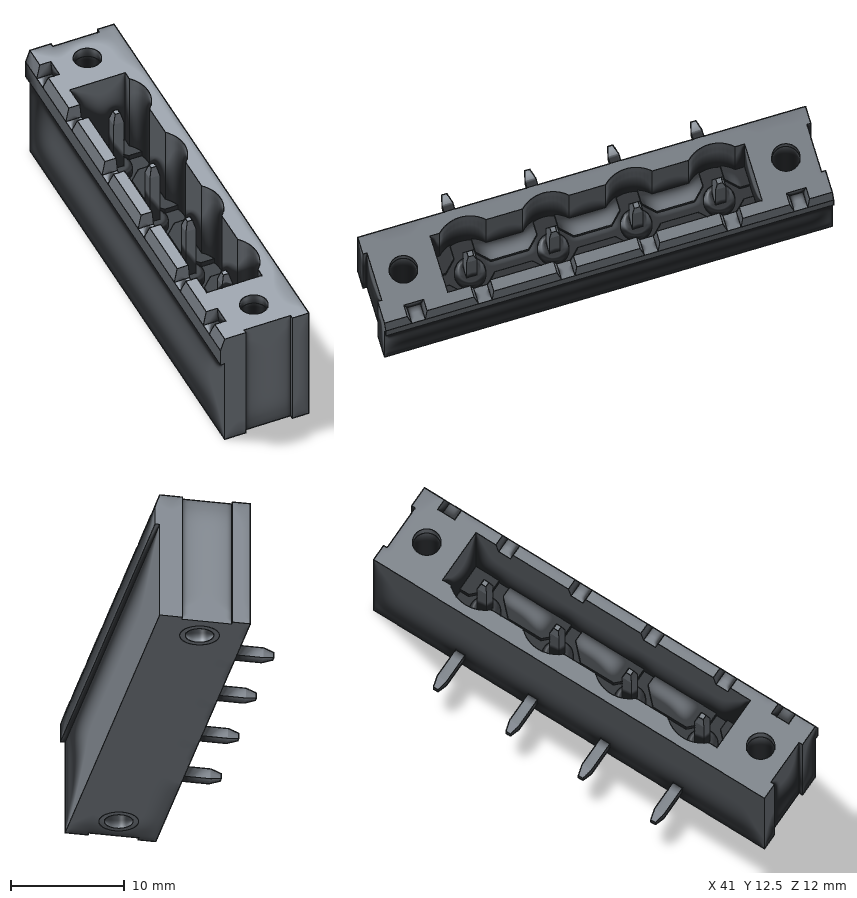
import cadquery as cq

housing_width = 41.05
housing_height = 12.0
total_depth = 12.5
leg_reach = 3.95
housing_back = total_depth - leg_reach
lip_depth = 0.4
lip_height = 2.95
bevel_height = 1.25
side_groove_depth = 0.35
side_groove_front = 2.45
side_groove_back = 6.95

pin_count = 4
pin_inset = 9.1
pin_pitch = (housing_width - 2 * pin_inset) / (pin_count - 1)
pin_xs = [-housing_width / 2 + pin_inset + i * pin_pitch for i in range(pin_count)]
axis_y = 4.6
pin_width = 1.0
pin_tip_width = 0.5
pin_tip_length = 1.0
pin_top = 10.68
leg_z = 2.0

cavity_half_width = 14.4
cavity_front = 1.48
cavity_back = 6.8
cavity_floor = 4.0
bulge_radius = 3.1

channel_depth = 0.5
channel_width = 1.1
back_branch_width = 1.97
diamond_reach = 2.63
channel_bottom = cavity_floor - channel_depth

collar_diameter = 2.8
collar_rounding = 0.5
collar_height = 1.0

notch_top_width = 1.8
notch_bottom_width = 1.25

screw_xs = [-17.55, 17.55]
screw_hole_diameter = 2.5
sleeve_diameter = 3.5
sleeve_cover = 1.0
sleeve_length = housing_height - sleeve_cover


def box(x_range, y_range, z_range):
    """Axis-aligned box from (low, high) limits."""
    limits = (x_range, y_range, z_range)
    lengths = [high - low for low, high in limits]
    corner = [low for low, high in limits]
    return cq.Workplane("XY").box(*lengths, centered=False).translate(tuple(corner))


def around(centre, width):
    """Limits of a given width about a centre."""
    return (centre - width / 2, centre + width / 2)


def cylinder(x, diameter, bottom, height):
    """Upright cylinder on the common axis row."""
    return cq.Workplane("XY", origin=(x, axis_y, bottom)).circle(diameter / 2).extrude(height)


def housing_block():
    """Side profile with the bevelled front lip, grooved at both ends."""
    profile = [
        (lip_depth, 0),
        (housing_back, 0),
        (housing_back, housing_height),
        (lip_depth, housing_height),
        (0, housing_height - bevel_height),
        (0, housing_height - lip_height),
        (lip_depth, housing_height - lip_height),
    ]
    block = cq.Workplane("YZ").polyline(profile).close().extrude(housing_width / 2, both=True)
    for side in (-1, 1):
        groove_x = around(side * housing_width / 2, 2 * side_groove_depth)
        block = block.cut(box(groove_x, (side_groove_front, side_groove_back), (0, housing_height)))
    return block


def cavity(bottom):
    """Plug cavity with a round bay behind each pin, from a given bottom up to the top face."""
    z_range = (bottom, housing_height)
    x_range = (-cavity_half_width, cavity_half_width)
    space = box(x_range, (cavity_front, cavity_back), z_range)
    for x in pin_xs:
        space = space.union(cylinder(x, 2 * bulge_radius, bottom, housing_height - bottom))
    return space.intersect(box(x_range, (cavity_front, housing_back), z_range))


def floor_channels():
    """Row channel, with a diamond and a front and a back branch at each pin."""
    z_range = (channel_bottom, cavity_floor)
    row_x = (-cavity_half_width, cavity_half_width)
    channels = box(row_x, around(axis_y, channel_width), z_range)
    for x in pin_xs:
        diamond = (
            cq.Workplane("XY", origin=(x, axis_y, channel_bottom))
            .polygon(4, 2 * diamond_reach)
            .extrude(channel_depth)
        )
        front_branch = box(around(x, channel_width), (cavity_front, axis_y), z_range)
        back_branch = box(around(x, back_branch_width), (axis_y, axis_y + bulge_radius), z_range)
        channels = channels.union(diamond).union(front_branch).union(back_branch)
    return channels.intersect(cavity(channel_bottom))


def collar(x):
    """Round collar with a rounded top edge, standing on the channel bottom."""
    post = cylinder(x, collar_diameter, channel_bottom, collar_height)
    return post.faces(">Z").edges().fillet(collar_rounding)


def notch(x):
    """Trapezoidal notch through the front wall, as deep as the lip bevel."""
    profile = [
        (x - notch_bottom_width / 2, housing_height - bevel_height),
        (x + notch_bottom_width / 2, housing_height - bevel_height),
        (x + notch_top_width / 2, housing_height),
        (x - notch_top_width / 2, housing_height),
    ]
    return cq.Workplane("XZ").polyline(profile).close().extrude(-cavity_front)


def tapered_bar(plane, length):
    """Square bar along a plane's normal, ending in a tapered tip."""
    shank_length = length - pin_tip_length
    shank = cq.Workplane(plane).rect(pin_width, pin_width).extrude(shank_length)
    tip = (
        cq.Workplane(plane)
        .workplane(offset=shank_length)
        .rect(pin_width, pin_width)
        .workplane(offset=pin_tip_length)
        .rect(pin_tip_width, pin_tip_width)
        .loft(combine=True)
    )
    return shank.union(tip)


def contact_pin(x):
    """Angled pin: upright contact in the cavity, solder leg out of the back."""
    foot_z = leg_z - pin_width / 2
    heel_y = axis_y - pin_width / 2
    upright_plane = cq.Plane(origin=(x, axis_y, foot_z), xDir=(1, 0, 0), normal=(0, 0, 1))
    leg_plane = cq.Plane(origin=(x, heel_y, leg_z), xDir=(1, 0, 0), normal=(0, 1, 0))
    upright = tapered_bar(upright_plane, pin_top - foot_z)
    leg = tapered_bar(leg_plane, total_depth - heel_y)
    return upright.union(leg)


def screw_sleeve(x):
    """Sleeve set into the housing from below, with the same bore as the screw hole."""
    bore = cylinder(x, screw_hole_diameter, 0, sleeve_length)
    return cylinder(x, sleeve_diameter, 0, sleeve_length).cut(bore)


def screw_hole(x):
    """Screw hole through the top wall, widened below it to seat the sleeve."""
    hole = cylinder(x, screw_hole_diameter, 0, housing_height)
    seat = cylinder(x, sleeve_diameter, 0, sleeve_length)
    return hole.union(seat)


pins = [contact_pin(x) for x in pin_xs]
sleeves = [screw_sleeve(x) for x in screw_xs]

housing = housing_block().cut(cavity(cavity_floor)).cut(floor_channels())
for x in pin_xs:
    housing = housing.union(collar(x))
for x in pin_xs + screw_xs:
    housing = housing.cut(notch(x))
for x in screw_xs:
    housing = housing.cut(screw_hole(x))
for pin in pins:
    housing = housing.cut(pin)

result = cq.Compound.makeCompound(
    [housing.val(), *[pin.val() for pin in pins], *[sleeve.val() for sleeve in sleeves]]
)